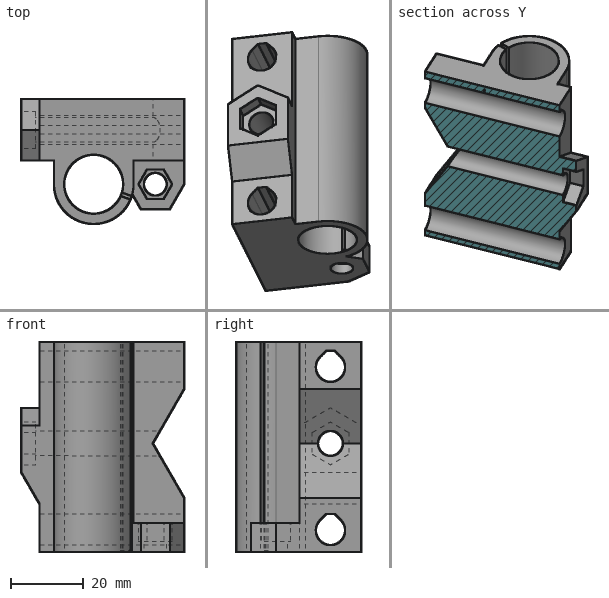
import cadquery as cq
import math

height = 58.0
bore_diameter = 16.2
sleeve_radius = 11.0

body_left = -15.0
body_right = 25.0
body_width = 17.0
body_back = 23.5
body_front = body_back - body_width
body_length = body_right - body_left
rod_y = body_back - body_width / 2
mid_z = 30.0

rod_hole_radius = 4.0
rod_hole_roof = 4.5
rod_hole_heights = (6.0, 51.0)

housing_depth = 5.0
housing_left = body_left - housing_depth
housing_radius = body_width / math.sqrt(3)
housing_bottom = 22.0
clamp_bolt_diameter = 6.8
clamp_nut_diameter = 11.8
clamp_nut_depth = 4.0

notch_half_height = 15.0
notch_depth = notch_half_height / math.sqrt(3)

foot_height = 8.0
foot_radius = 8.0
foot_x = body_right - foot_radius
foot_bolt_diameter = 6.2
foot_nut_diameter = 9.3
foot_nut_depth = 5.0

slit_width = 1.0
slit_angle = -20.0
slit_floor = 0.5


def box(x_range, y_range, z_range):
    """Box between the given limits on each axis."""
    size = [high - low for low, high in (x_range, y_range, z_range)]
    corner = (x_range[0], y_range[0], z_range[0])
    return cq.Workplane("XY").box(*size, centered=False).translate(corner)


def hexagon(radius, first_angle):
    """Corners of a regular hexagon, the first one at the given angle."""
    angles = [math.radians(first_angle + 60 * i) for i in range(6)]
    return [(radius * math.cos(a), radius * math.sin(a)) for a in angles]


def plane_across_x(x, z):
    """Plane facing +X on the rod line; its local axes are Y and Z."""
    return cq.Workplane("YZ", origin=(x, rod_y, z))


def prism_across_body(profile):
    """Prism over the full body width from a profile of (X, Z) corners."""
    return cq.Workplane("XZ", origin=(0, body_front, 0)).polyline(profile).close().extrude(-body_width)


def make_body():
    body = box((body_left, body_right), (body_front, body_back), (0, height))
    sleeve = cq.Workplane("XY").circle(sleeve_radius).extrude(height)
    web = box((-sleeve_radius, sleeve_radius), (0, body_front), (0, height))
    return body.union(web).union(sleeve)


def make_nut_housing():
    """Block with a gabled roof, on a ramp that runs back down into the body."""
    half_width = body_width / 2
    end_face = [
        (-half_width, housing_bottom - mid_z),
        (half_width, housing_bottom - mid_z),
        (half_width, housing_radius / 2),
        (0, housing_radius),
        (-half_width, housing_radius / 2),
    ]
    block = plane_across_x(housing_left, mid_z).polyline(end_face).close().extrude(housing_depth)
    ramp_drop = housing_depth * math.sqrt(3)
    ramp_side = [
        (body_left, housing_bottom),
        (housing_left, housing_bottom),
        (body_left, housing_bottom - ramp_drop),
    ]
    return block.union(prism_across_body(ramp_side))


def make_foot():
    hex_end = cq.Workplane("XY").center(foot_x, 0).polyline(hexagon(foot_radius, 0)).close()
    link = box((sleeve_radius, body_right), (0, body_front), (0, foot_height))
    return hex_end.extrude(foot_height).union(link)


def make_rod_hole(z):
    tangent = rod_hole_radius / math.sqrt(2)
    roof_half_width = 2 * tangent - rod_hole_roof
    return (
        plane_across_x(body_left, z)
        .moveTo(-tangent, tangent)
        .threePointArc((0, -rod_hole_radius), (tangent, tangent))
        .lineTo(roof_half_width, rod_hole_roof)
        .lineTo(-roof_half_width, rod_hole_roof)
        .close()
        .extrude(body_length)
    )


def make_clamp_bolt_cut():
    start = plane_across_x(housing_left, mid_z)
    bolt = start.circle(clamp_bolt_diameter / 2).extrude(housing_depth + body_length)
    nut = start.polyline(hexagon(clamp_nut_diameter / 2, 90)).close().extrude(clamp_nut_depth)
    return bolt.union(nut)


def make_notch():
    profile = [
        (body_right, mid_z - notch_half_height),
        (body_right, mid_z + notch_half_height),
        (body_right - notch_depth, mid_z),
    ]
    return prism_across_body(profile)


def make_foot_bolt_cut():
    bolt = cq.Workplane("XY").center(foot_x, 0).circle(foot_bolt_diameter / 2).extrude(foot_height)
    nut_floor = foot_height - foot_nut_depth
    nut = cq.Workplane("XY", origin=(foot_x, 0, nut_floor)).polyline(hexagon(foot_nut_diameter / 2, 0))
    return bolt.union(nut.close().extrude(foot_nut_depth))


def make_slit():
    """Slit centred on a radius of the sleeve; a thin floor stays at the bottom."""
    half_width = slit_width / 2
    x_range = (0, sleeve_radius + slit_width)
    slit = box(x_range, (-half_width, half_width), (slit_floor, height))
    return slit.rotate((0, 0, 0), (0, 0, 1), slit_angle)


result = make_body().union(make_nut_housing()).cut(make_slit()).union(make_foot())
result = result.cut(cq.Workplane("XY").circle(bore_diameter / 2).extrude(height))
for hole_z in rod_hole_heights:
    result = result.cut(make_rod_hole(hole_z))
result = result.cut(make_clamp_bolt_cut()).cut(make_notch()).cut(make_foot_bolt_cut())